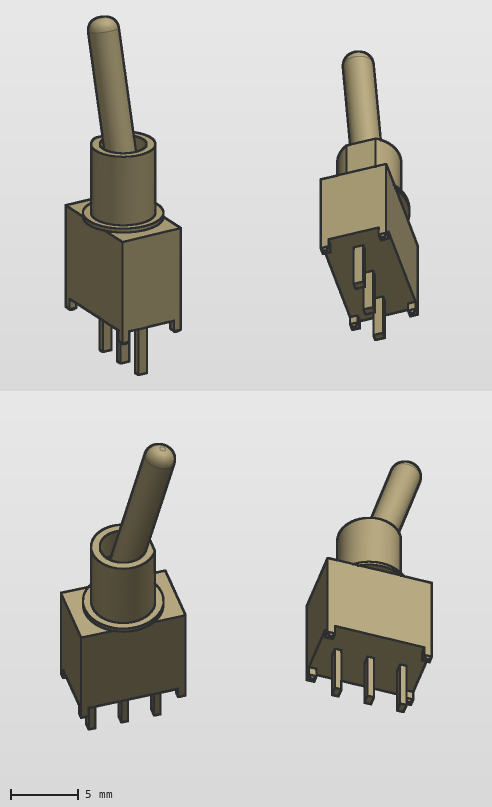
import cadquery as cq
import math

total_height = 26.73

body_length = 8.13
body_width = 5.08
body_bottom = 4.33
body_top = 11.68

foot_size = 0.6
foot_bottom = 3.31
foot_chamfer = 0.2

pin_pitch = 2.55
pin_thickness = 0.5
pin_width = 0.75

washer_diameter = 6.0
washer_top = 12.0
bushing_diameter = 4.78
bushing_top = 17.53
bushing_flat_offset = 2.1
bore_diameter = 3.47

lever_diameter = 2.33
lever_tilt = 15.0
lever_tip_fillet = 0.94
pivot_height = 15.18


def upright_cylinder(diameter, bottom, top):
    return cq.Workplane("XY").workplane(offset=bottom).circle(diameter / 2).extrude(top - bottom)


def upright_bar(x, y, length, width, bottom, top):
    bar = cq.Workplane("XY").box(length, width, top - bottom, centered=(True, True, False))
    return bar.translate((x, y, bottom))


def make_housing():
    housing = upright_bar(0, 0, body_length, body_width, body_bottom, body_top)
    foot_x = (body_length - foot_size) / 2
    foot_y = (body_width - foot_size) / 2
    for x in (-foot_x, foot_x):
        for y in (-foot_y, foot_y):
            foot = upright_bar(x, y, foot_size, foot_size, foot_bottom, body_bottom)
            housing = housing.union(foot.faces("<Z").chamfer(foot_chamfer))
    return housing


def make_pins():
    pins = cq.Workplane("XY")
    for x in (-pin_pitch, 0, pin_pitch):
        pins = pins.union(upright_bar(x, 0, pin_thickness, pin_width, 0, body_bottom))
    return pins


def make_bushing():
    bushing = upright_cylinder(bushing_diameter, washer_top, bushing_top)
    kept_length = bushing_flat_offset + bushing_diameter / 2
    kept_center = kept_length / 2 - bushing_flat_offset
    kept = upright_bar(kept_center, 0, kept_length, bushing_diameter, washer_top, bushing_top)
    bore = upright_cylinder(bore_diameter, pivot_height, bushing_top)
    return bushing.intersect(kept).cut(bore)


def make_lever():
    tilt = math.radians(lever_tilt)
    radius = lever_diameter / 2
    tip_flat_radius = radius - lever_tip_fillet
    fillet_rise = lever_tip_fillet + tip_flat_radius * math.sin(tilt)
    fillet_center = (total_height - pivot_height - fillet_rise) / math.cos(tilt)
    lever_end = fillet_center + lever_tip_fillet
    lever_start = -radius * math.tan(tilt)
    lever = upright_cylinder(lever_diameter, lever_start, lever_end)
    lever = lever.faces(">Z").edges().fillet(lever_tip_fillet)
    return lever.rotate((0, 0, 0), (0, 1, 0), -lever_tilt).translate((0, 0, pivot_height))


washer = upright_cylinder(washer_diameter, body_top, washer_top)
result = make_housing().union(make_pins()).union(washer).union(make_bushing()).union(make_lever())